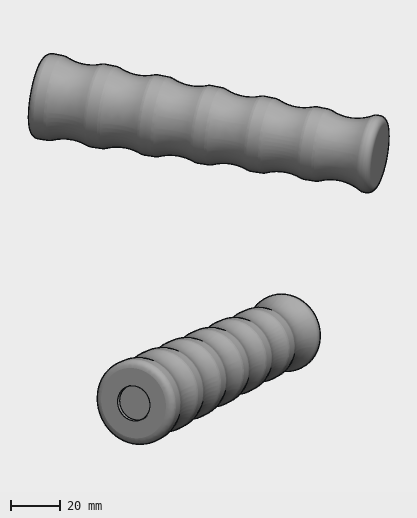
import cadquery as cq
import math

length = 145.0
front_radius = 17.7
back_radius = 32.0 / 2
end_rounding = 3.0

band_pitch = 22.6
band_count = 6
first_band_center = 5.0
band_width = 6.0
taper_per_unit = 0.023

groove_depth = 1.7
last_groove_bottom_x = 129.9
last_groove_bottom_radius = 13.0
collar_start_x = 140.4
band_edge_rounding = 2.9
collar_edge_rounding = 2.5

hole_diameter = 14.6
hole_depth = 2.0


def cone_radius(x):
    """Radius of the tapering band surface at x."""
    return front_radius - taper_per_unit * max(x - end_rounding, 0)


def cone_point(x):
    return (x, cone_radius(x))


band_centers = [first_band_center + i * band_pitch for i in range(band_count)]
band_starts = [center - band_width / 2 for center in band_centers]
band_ends = [center + band_width / 2 for center in band_centers]


def grip_body():
    """Revolve the half profile of bands and grooves about the X axis."""
    profile = cq.Workplane("XY").lineTo(0, front_radius).lineTo(end_rounding, front_radius)
    profile = profile.lineTo(*cone_point(band_ends[0]))
    for i in range(1, band_count):
        groove_start = band_ends[i - 1]
        groove_end = band_starts[i]
        middle = (groove_start + groove_end) / 2
        bottom = (middle, cone_radius(middle) - groove_depth)
        profile = profile.threePointArc(bottom, cone_point(groove_end))
        profile = profile.lineTo(*cone_point(band_ends[i]))
    last_bottom = (last_groove_bottom_x, last_groove_bottom_radius)
    profile = profile.threePointArc(last_bottom, (collar_start_x, back_radius))
    profile = profile.lineTo(length, back_radius).lineTo(length, 0).close()
    return profile.revolve(360, (0, 0, 0), (1, 0, 0))


def round_edges(body, positions, radius):
    """Fillet the circular edges lying at the given x positions."""
    tolerance = 0.01

    def at_position(edge):
        box = edge.BoundingBox()
        is_ring = box.xlen < tolerance
        return is_ring and any(math.isclose(box.center.x, x, abs_tol=tolerance) for x in positions)

    return body.edges().filter(at_position).fillet(radius)


grip = grip_body()
grip = round_edges(grip, band_ends + band_starts[1:], band_edge_rounding)
grip = round_edges(grip, [collar_start_x], collar_edge_rounding)
grip = round_edges(grip, [0, length], end_rounding)

hole = cq.Workplane("YZ").circle(hole_diameter / 2).extrude(hole_depth)
result = grip.cut(hole)